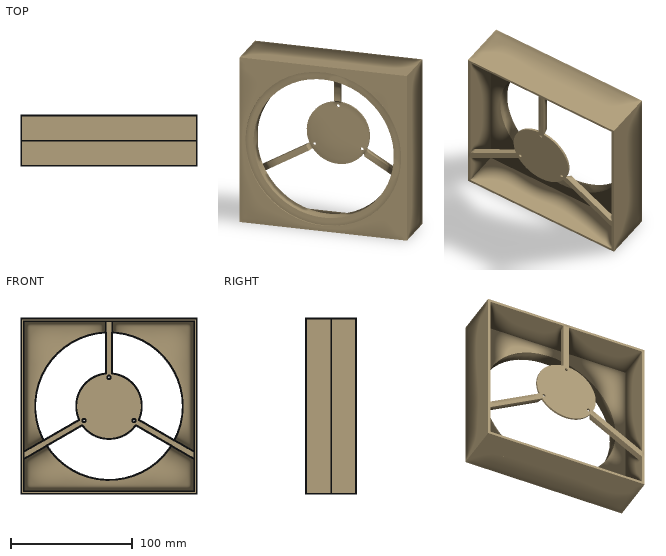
import cadquery as cq

side = 144.5
depth = 41.5
frame_depth = depth / 2
wall = 2.3
opening_diameter = 121.2
plate_thickness = 11.3
recess_diameter = 134.5
recess_depth = 1.0

hub_diameter = 54.2
hub_thickness = 1.7
spoke_count = 3
spoke_width = 5.2
spoke_depth = 5.0
spoke_relief = 2.2
screw_hole_diameter = 2.7
screw_circle_radius = 23.7

inner_side = side - 2 * wall
hub_radius = hub_diameter / 2


def block(width, front, length):
    """Square block centred on the Y axis, running from y = front toward +Y."""
    return cq.Workplane("XY").box(width, length, width, centered=(True, False, True)).translate((0, front, 0))


def disk(diameter, front, length):
    """Round disk on the Y axis, running from y = front toward +Y."""
    return cq.Workplane("XZ", origin=(0, front, 0)).circle(diameter / 2).extrude(-length)


def make_front_frame():
    """Open square ring that forms the front half of the housing."""
    return block(side, 0, frame_depth).cut(block(inner_side, 0, frame_depth))


def make_rear_frame():
    """Square ring closed at the back by a plate with a round air opening, recessed from behind."""
    pocket = block(inner_side, frame_depth, frame_depth - plate_thickness)
    opening = disk(opening_diameter, depth - plate_thickness, plate_thickness)
    recess = disk(recess_diameter, depth - recess_depth, recess_depth)
    return block(side, frame_depth, frame_depth).cut(pocket).cut(opening).cut(recess)


def make_spoke():
    """Upright spoke from the hub outward, its rear edge sloping down to the hub rim."""
    root = screw_circle_radius
    return (
        cq.Workplane("YZ", origin=(-spoke_width / 2, 0, 0))
        .moveTo(0, root)
        .lineTo(hub_thickness, root)
        .lineTo(hub_thickness, hub_radius)
        .lineTo(spoke_depth, hub_radius + spoke_relief)
        .lineTo(spoke_depth, side)
        .lineTo(0, side)
        .close()
        .extrude(spoke_width)
    )


def make_spider():
    """Motor hub on three spokes that end against the inner walls of the front frame."""
    spider = disk(hub_diameter, 0, hub_thickness)
    screw_hole = disk(screw_hole_diameter, 0, hub_thickness + spoke_depth).translate((0, 0, screw_circle_radius))
    spoke = make_spoke()
    angles = [360 / spoke_count * index for index in range(spoke_count)]
    for angle in angles:
        spider = spider.union(spoke.rotate((0, 0, 0), (0, 1, 0), angle))
    for angle in angles:
        spider = spider.cut(screw_hole.rotate((0, 0, 0), (0, 1, 0), angle))
    return spider.intersect(block(inner_side, 0, frame_depth))


front_frame = make_front_frame()
rear_frame = make_rear_frame()
spider = make_spider()

result = cq.Compound.makeCompound([front_frame.val(), rear_frame.val(), *spider.vals()])